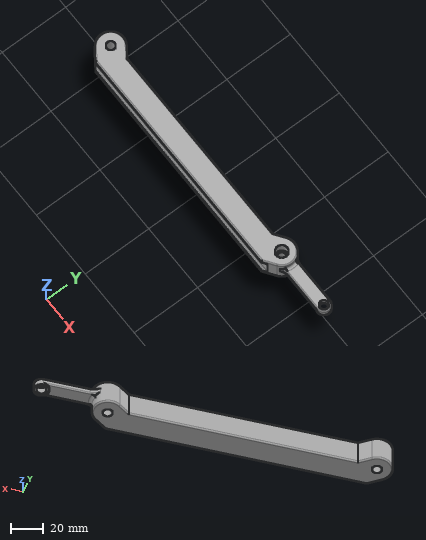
import cadquery as cq
import math

hole_spacing = 175.0
boss_radius = 10.0
body_height = 18.0
front_y = -14.0
back_y = 3.0
flank_angle = math.radians(35.0)
rim_round = 1.0

lip_thickness = 2.5
channel_depth = 2.2
channel_floor_round = 1.0

left_hole_diameter = 6.2
right_hole_diameter = 6.15
counterbore_diameter = 8.5
counterbore_depth = 9.0

tail_tip_x = 222.95
tail_radius = 4.95
tail_hole_diameter = 6.2
tail_bottom_z = 9.0
tail_top_z = 13.4
tip_drop = 0.9
tail_rim_round = 0.8
root_round = 2.0
root_side_round = 9.0

tail_hole_x = tail_tip_x - tail_radius
edge_overlap = 1.0


def flank_x(y):
    """X distance from the boss axis to the tangent flank at |y|; negative past the axis."""
    return (boss_radius - abs(y) * math.cos(flank_angle)) / math.sin(flank_angle)


def vertical_cylinder(x, diameter, bottom, top):
    """Upright cylinder on the line of pivot axes, for holes and round ends."""
    return cq.Workplane("XY", origin=(x, 0, bottom)).circle(diameter / 2).extrude(top - bottom)


def make_body():
    """Straight bar offset to the front of the two bosses, with rounded top and bottom rims."""
    tangent_x = boss_radius * math.sin(flank_angle)
    tangent_y = boss_radius * math.cos(flank_angle)
    neck_x = flank_x(back_y)
    corner_x = -flank_x(front_y)
    body = (
        cq.Workplane("XY")
        .moveTo(corner_x, front_y)
        .lineTo(hole_spacing - corner_x, front_y)
        .lineTo(hole_spacing + tangent_x, -tangent_y)
        .threePointArc((hole_spacing + boss_radius, 0), (hole_spacing - tangent_x, tangent_y))
        .lineTo(hole_spacing - neck_x, back_y)
        .lineTo(neck_x, back_y)
        .lineTo(tangent_x, tangent_y)
        .threePointArc((-boss_radius, 0), (-tangent_x, -tangent_y))
        .close()
        .extrude(body_height)
    )
    return body.faces("|Z").edges().fillet(rim_round)


def make_channel_cutter():
    """Bar that runs out through both end flanks, with its inner long edges rounded."""
    length = hole_spacing + 2 * boss_radius
    depth = channel_depth + edge_overlap
    height = body_height - 2 * lip_thickness
    return (
        cq.Workplane("XY")
        .box(length, depth, height, centered=(True, False, False))
        .translate((hole_spacing / 2, front_y - edge_overlap, lip_thickness))
        .faces(">Y")
        .edges("|X")
        .fillet(channel_floor_round)
    )


def make_strap():
    """Strap from the right boss to the tip axis, its sides flaring tangent into the boss."""
    flare_reach = boss_radius + root_side_round
    flare_y = tail_radius + root_side_round
    flare_x = math.sqrt(flare_reach**2 - flare_y**2)
    contact_x = flare_x * boss_radius / flare_reach
    contact_y = flare_y * boss_radius / flare_reach
    middle_angle = (math.pi / 2 + math.atan2(flare_y, flare_x)) / 2
    middle_x = flare_x - root_side_round * math.cos(middle_angle)
    middle_y = flare_y - root_side_round * math.sin(middle_angle)
    tail_length = tail_hole_x - hole_spacing
    strap = (
        cq.Workplane("XY", origin=(hole_spacing, 0, tail_bottom_z))
        .moveTo(0, 0)
        .lineTo(contact_x, -contact_y)
        .threePointArc((middle_x, -middle_y), (flare_x, -tail_radius))
        .lineTo(tail_length, -tail_radius)
        .lineTo(tail_length, tail_radius)
        .lineTo(flare_x, tail_radius)
        .threePointArc((middle_x, middle_y), (contact_x, contact_y))
        .close()
        .extrude(tail_top_z - tail_bottom_z)
    )
    middle_of_strap_x = (hole_spacing + tail_hole_x) / 2
    for y in (-tail_radius, tail_radius):
        for z in (tail_bottom_z, tail_top_z):
            rim = cq.selectors.NearestToPointSelector((middle_of_strap_x, y, z))
            strap = strap.edges(rim).fillet(tail_rim_round)
    return strap


def make_root_blend(strap_z, direction):
    """Concave blend between the boss wall and the strap face at strap_z; direction is +1 up, -1 down."""
    corner_reach = root_round * (1 - math.sqrt(0.5))
    inner_radius = boss_radius - edge_overlap
    base_z = strap_z - direction * edge_overlap
    top_z = strap_z + direction * root_round
    ring = (
        cq.Workplane("XZ")
        .moveTo(inner_radius, base_z)
        .lineTo(boss_radius + root_round, base_z)
        .lineTo(boss_radius + root_round, strap_z)
        .threePointArc(
            (boss_radius + corner_reach, strap_z + direction * corner_reach),
            (boss_radius, top_z),
        )
        .lineTo(inner_radius, top_z)
        .close()
        .revolve(360, (0, 0, 0), (0, 1, 0))
    )
    flat_width = 2 * (tail_radius - tail_rim_round)
    window_size = (2 * boss_radius, flat_width, 2 * body_height)
    window = cq.Workplane("XY").box(*window_size, centered=(False, True, True))
    return ring.intersect(window).translate((hole_spacing, 0, 0))


def make_tip():
    """Round eye at the end of the strap, hanging slightly below it."""
    bottom_z = tail_bottom_z - tip_drop
    return (
        vertical_cylinder(tail_hole_x, 2 * tail_radius, bottom_z, tail_top_z)
        .faces(">Z")
        .edges()
        .fillet(tail_rim_round)
    )


result = (
    make_body()
    .cut(make_channel_cutter())
    .union(make_strap())
    .union(make_root_blend(tail_top_z, 1))
    .union(make_root_blend(tail_bottom_z, -1))
    .union(make_tip())
    .cut(vertical_cylinder(0, left_hole_diameter, 0, body_height))
    .cut(vertical_cylinder(hole_spacing, right_hole_diameter, 0, body_height))
    .cut(vertical_cylinder(hole_spacing, counterbore_diameter, body_height - counterbore_depth, body_height))
    .cut(vertical_cylinder(tail_hole_x, tail_hole_diameter, 0, body_height))
)